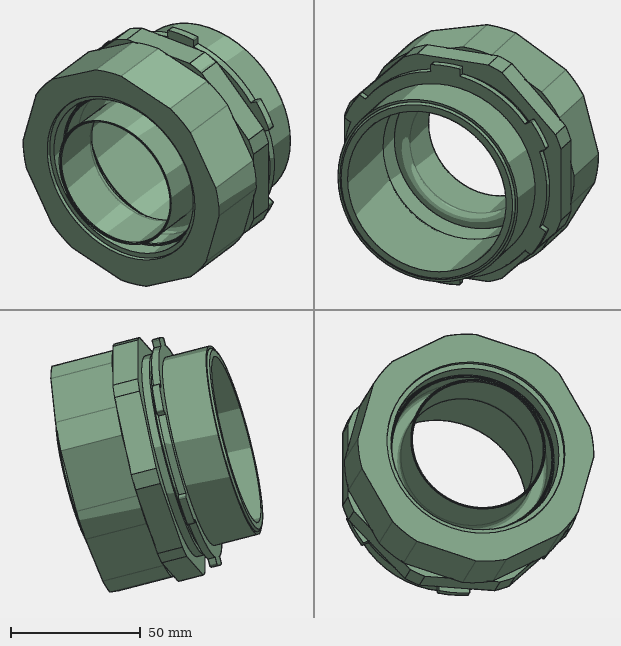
import cadquery as cq
import math

overall_length = 64.5
thread_diameter = 75.0
side_count = 8

nut_diameter = 93.0
nut_front = 3.9
nut_back = 28.5
flat_angle = 30.0
nut_turn = 15.0
nut_lip_bore = 66.0
nut_recess_diameter = 70.0
nut_recess_depth = 1.7

collar_back = 38.5
corner_diameter = 94.95
square_flats = 90.2
diagonal_flats = 89.6
spigot_front = 13.95
body_bore = 66.0
spigot_bore = 67.0
spigot_bore_end = 28.8
pilot_diameter = 73.1
pilot_length = 0.9
pilot_chamfer = 0.8

seal_diameter = 80.0
seal_thickness = 3.1

locknut_front = 43.2
locknut_back = 46.1
locknut_diameter = 84.8
lobe_diameter = 90.7
lobe_width = 12.3
lobe_count = 6
lobe_corner_radius = 0.5

sheet = 0.51
tube_inner_radius = 25.8
cup_inner_radius = 31.48
cup_front = 10.8
bend_start = 19.4
flare_length = 0.5
flare_step = 0.3


def disc(diameter, start, end):
    """Solid cylinder along Y from start to end."""
    return cq.Workplane("XZ", origin=(0, start, 0)).circle(diameter / 2).extrude(start - end)


def turned(shape, angle):
    """Shape turned about the common axis."""
    return shape.rotate((0, 0, 0), (0, 1, 0), angle)


def trim_flats(shape, across_flats, angles):
    """Trim a pair of opposite flats at each angle."""
    slab = cq.Workplane("XY").box(across_flats, 2 * overall_length, 2 * corner_diameter)
    for angle in angles:
        shape = shape.intersect(turned(slab, angle))
    return shape


def make_nut():
    across_flats = nut_diameter * math.cos(math.radians(flat_angle / 2))
    angles = [nut_turn + 360 / side_count * i for i in range(side_count // 2)]
    nut = trim_flats(disc(nut_diameter, nut_front, nut_back), across_flats, angles)
    nut = nut.cut(disc(nut_recess_diameter, nut_front, nut_front + nut_recess_depth))
    nut = nut.cut(disc(nut_lip_bore, nut_front, spigot_front))
    return nut.cut(disc(thread_diameter, spigot_front, nut_back))


def make_body():
    collar = disc(corner_diameter, nut_back, collar_back)
    side_angle = 360 / side_count
    collar = trim_flats(collar, square_flats, [0, 2 * side_angle])
    collar = trim_flats(collar, diagonal_flats, [side_angle, 3 * side_angle])
    thread_end = overall_length - pilot_length
    thread = disc(thread_diameter, spigot_front, thread_end)
    pilot = disc(pilot_diameter, collar_back, overall_length).faces(">Y").chamfer(pilot_chamfer)
    body = collar.union(thread).union(pilot)
    body = body.cut(disc(body_bore, spigot_front, overall_length))
    return body.cut(disc(spigot_bore, spigot_front, spigot_bore_end))


def make_seal():
    seal_back = collar_back + seal_thickness
    return disc(seal_diameter, collar_back, seal_back).cut(disc(thread_diameter, collar_back, seal_back))


def make_locknut():
    locknut = disc(locknut_diameter, locknut_front, locknut_back)
    middle = (locknut_front + locknut_back) / 2
    bar = cq.Workplane("XY", origin=(0, middle, 0))
    bar = bar.box(lobe_width, locknut_back - locknut_front, 2 * lobe_diameter)
    lobe_pair = bar.intersect(disc(lobe_diameter, locknut_front, locknut_back))
    lobe_pair = lobe_pair.edges("|Y").fillet(lobe_corner_radius)
    for i in range(lobe_count // 2):
        locknut = locknut.union(turned(lobe_pair, 360 / lobe_count * i))
    return locknut.cut(disc(thread_diameter, locknut_front, locknut_back))


def make_ferrule():
    tube_outer_radius = tube_inner_radius + sheet
    cup_outer_radius = cup_inner_radius + sheet
    bend_centre = (tube_inner_radius + cup_outer_radius) / 2
    inner_bend_radius = (cup_inner_radius - tube_outer_radius) / 2
    outer_bend_radius = inner_bend_radius + sheet
    profile = (
        cq.Workplane("XY")
        .moveTo(tube_inner_radius + flare_step, 0)
        .lineTo(tube_outer_radius + flare_step, 0)
        .lineTo(tube_outer_radius, flare_length)
        .lineTo(tube_outer_radius, bend_start)
        .threePointArc((bend_centre, bend_start + inner_bend_radius), (cup_inner_radius, bend_start))
        .lineTo(cup_inner_radius, cup_front + flare_length)
        .lineTo(cup_inner_radius + flare_step, cup_front)
        .lineTo(cup_outer_radius + flare_step, cup_front)
        .lineTo(cup_outer_radius, cup_front + flare_length)
        .lineTo(cup_outer_radius, bend_start)
        .threePointArc((bend_centre, bend_start + outer_bend_radius), (tube_inner_radius, bend_start))
        .lineTo(tube_inner_radius, flare_length)
        .close()
    )
    return profile.revolve(360, (0, 0, 0), (0, 1, 0))


nut = make_nut()
body = make_body()
seal = make_seal()
locknut = make_locknut()
ferrule = make_ferrule()

result = cq.Compound.makeCompound([part.solids().val() for part in (nut, body, seal, locknut, ferrule)])